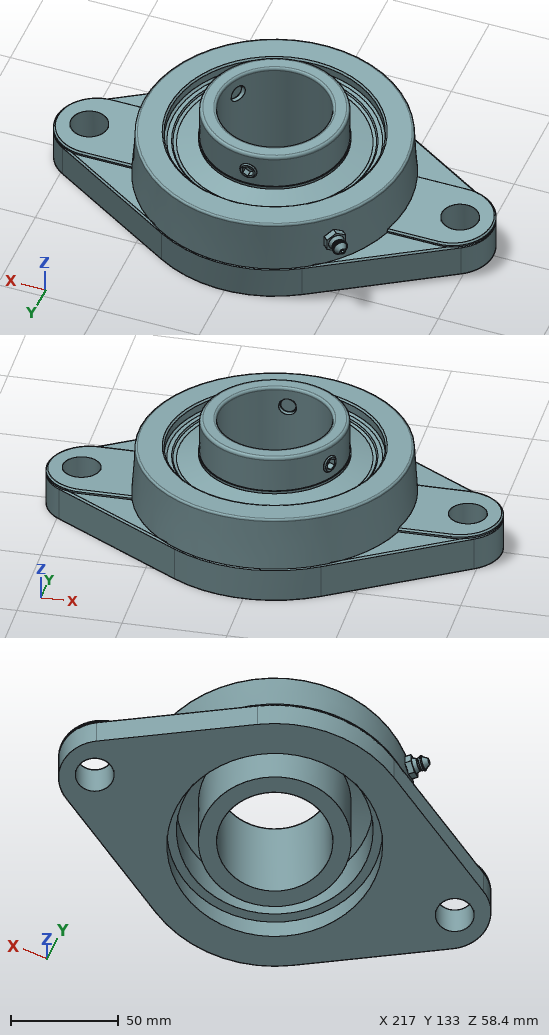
import cadquery as cq
import math

overall_length = 217.0
flange_radius = 66.5
lug_radius = 20.2
lug_offset = overall_length / 2 - lug_radius
web_height = 17.1
pad_height = 18.9
flange_edge_chamfer = 0.9
bolt_hole_diameter = 18.0
bolt_hole_offset = 92.0

drum_top_z = 43.2
drum_top_radius = 64.9
drum_edge_round = 1.0
mouth_radius = 51.5
mouth_chamfer = 0.9
seat_radius = 50.1
seat_chamfer_drop = 0.9

outer_ring_bottom_z = 12.5
outer_ring_top_z = 37.5
ring_groove_radius = 48.0
ring_groove_depth = 0.7
ring_lip_radius = 47.3
seal_outer_radius = 45.68
seal_rim_z = 36.5
inner_ring_bottom_z = 2.8
inner_ring_top_z = 58.4
inner_ring_radius = 35.0
bore_radius = 27.02
inner_ring_round = 1.5
bore_round = 1.3
collar_radius = 35.48
collar_top_z = 40.4

seal_inner_z = 39.0
seal_thickness = 1.7

screw_diameter = 8.5
screw_z = 48.2
screw_angles = (-30.0, 90.0)
screw_inner_radius = 28.6
screw_outer_radius = 35.5
screw_chamfer = 0.7
socket_width = 5.0
socket_depth = 3.3

nipple_angle = 135.0
nipple_z = 30.8
shank_diameter = 6.0
shank_start = 56.5
hex_start = 66.2
hex_end = 69.2
hex_width = 9.5
taper_start_radius = 4.0
taper_end_radius = 3.0
neck_radius = 2.2
neck_start = 71.2
neck_end = 72.0
head_radius = 3.3
rib_radius = 3.7
rib_start = 73.1
rib_end = 73.8
nipple_tip = 76.4
tip_radius = 1.5
grease_hole_diameter = 1.5
grease_hole_depth = 2.2


def revolve_profile(points):
    """Turn a closed (radius, z) outline about the Z axis."""
    return cq.Workplane("XZ").polyline(points).close().revolve(360, (0, 0, 0), (0, 1, 0))


def radial_plane(angle, distance, z):
    """Plane facing outwards, at a distance from the bearing axis."""
    turn = math.radians(angle)
    outward = cq.Vector(math.cos(turn), math.sin(turn), 0)
    return cq.Plane(origin=outward * distance + cq.Vector(0, 0, z), xDir=(0, 0, 1), normal=outward)


def hexagon_corners(width):
    """Distance across the corners of a hexagon with the given width across its flats."""
    return width / math.cos(math.radians(30))


def make_flange():
    """Rhombic plate: a large centre arc joined to two lug arcs by tangent lines."""
    cos_t = (flange_radius - lug_radius) / lug_offset
    sin_t = math.sqrt(1 - cos_t**2)
    big_x = flange_radius * cos_t
    big_y = flange_radius * sin_t
    lug_x = lug_offset + lug_radius * cos_t
    lug_y = lug_radius * sin_t
    half_length = overall_length / 2
    return (
        cq.Workplane("XY")
        .moveTo(-big_x, big_y)
        .threePointArc((0, flange_radius), (big_x, big_y))
        .lineTo(lug_x, lug_y)
        .threePointArc((half_length, 0), (lug_x, -lug_y))
        .lineTo(big_x, -big_y)
        .threePointArc((0, -flange_radius), (-big_x, -big_y))
        .lineTo(-lug_x, -lug_y)
        .threePointArc((-half_length, 0), (-lug_x, lug_y))
        .close()
        .extrude(web_height)
        .faces(">Z")
        .edges("%LINE")
        .chamfer(flange_edge_chamfer)
    )


def make_lug_pads():
    """Raised strip with round ends that carries both bolt holes."""
    return (
        cq.Workplane("XY", origin=(0, 0, web_height))
        .slot2D(overall_length, 2 * lug_radius)
        .extrude(pad_height - web_height)
        .faces(">Z")
        .edges()
        .chamfer(flange_edge_chamfer)
    )


def make_drum():
    """Slightly tapered drum with a rounded top edge."""
    return (
        revolve_profile(
            [
                (0, web_height),
                (flange_radius, web_height),
                (drum_top_radius, drum_top_z),
                (0, drum_top_z),
            ]
        )
        .faces(">Z")
        .edges()
        .fillet(drum_edge_round)
    )


def make_seat_cutter():
    """Bearing seat with a wider, chamfered mouth."""
    return revolve_profile(
        [
            (0, 0),
            (seat_radius, 0),
            (seat_radius, outer_ring_top_z),
            (mouth_radius, outer_ring_top_z + seat_chamfer_drop),
            (mouth_radius, drum_top_z - mouth_chamfer),
            (mouth_radius + mouth_chamfer, drum_top_z),
            (0, drum_top_z),
        ]
    )


def make_housing():
    """Flange, lug pads and drum in one piece, with the seat and all holes cut."""
    bolt_holes = (
        cq.Workplane("XY")
        .pushPoints([(-bolt_hole_offset, 0), (bolt_hole_offset, 0)])
        .circle(bolt_hole_diameter / 2)
        .extrude(pad_height)
    )
    nipple_hole = (
        cq.Workplane(radial_plane(nipple_angle, shank_start, nipple_z))
        .circle(shank_diameter / 2)
        .extrude(hex_start - shank_start)
    )
    body = make_flange().union(make_lug_pads()).union(make_drum())
    return body.cut(make_seat_cutter()).cut(bolt_holes).cut(nipple_hole)


def make_outer_ring():
    """Ring in the housing seat, with a sloped lip down to the seal."""
    return revolve_profile(
        [
            (seal_outer_radius, outer_ring_bottom_z),
            (seat_radius, outer_ring_bottom_z),
            (seat_radius, outer_ring_top_z),
            (ring_groove_radius, outer_ring_top_z),
            (ring_lip_radius, outer_ring_top_z - ring_groove_depth),
            (seal_outer_radius, seal_rim_z),
        ]
    )


def make_inner_ring():
    """Long sleeve with a low collar, rounded top edges and two screw holes."""
    ring = revolve_profile(
        [
            (bore_radius, inner_ring_bottom_z),
            (collar_radius, inner_ring_bottom_z),
            (collar_radius, collar_top_z),
            (inner_ring_radius, collar_top_z),
            (inner_ring_radius, inner_ring_top_z),
            (bore_radius, inner_ring_top_z),
        ]
    )
    ring = ring.faces(">Z").edges(cq.selectors.RadiusNthSelector(1)).fillet(inner_ring_round)
    ring = ring.faces(">Z").edges(cq.selectors.RadiusNthSelector(0)).fillet(bore_round)
    for angle in screw_angles:
        screw_hole = (
            cq.Workplane(radial_plane(angle, 0, screw_z))
            .circle(screw_diameter / 2)
            .extrude(inner_ring_radius + bore_radius)
        )
        ring = ring.cut(screw_hole)
    return ring


def make_seal():
    """Thin dished ring that closes the gap between the bearing rings."""
    return revolve_profile(
        [
            (collar_radius, seal_inner_z),
            (seal_outer_radius, seal_rim_z),
            (seal_outer_radius, seal_rim_z - seal_thickness),
            (collar_radius, seal_inner_z - seal_thickness),
        ]
    )


def make_set_screw(angle):
    """Headless screw with chamfered ends and a hexagon socket in its outer end."""
    screw = (
        cq.Workplane(radial_plane(angle, screw_inner_radius, screw_z))
        .circle(screw_diameter / 2)
        .extrude(screw_outer_radius - screw_inner_radius)
        .edges("%CIRCLE")
        .chamfer(screw_chamfer)
    )
    socket = (
        cq.Workplane(radial_plane(angle, screw_outer_radius, screw_z))
        .polygon(6, hexagon_corners(socket_width))
        .extrude(-socket_depth)
    )
    return screw.cut(socket)


def make_nipple():
    """Threaded shank, hexagon, neck and ribbed head with a grease hole in its tip."""
    turned_outline = [
        (0, shank_start),
        (shank_diameter / 2, shank_start),
        (shank_diameter / 2, hex_end),
        (taper_start_radius, hex_end),
        (taper_end_radius, neck_start),
        (neck_radius, neck_start),
        (neck_radius, neck_end),
        (head_radius, neck_end),
        (head_radius, rib_start),
        (rib_radius, rib_start),
        (rib_radius, rib_end),
        (head_radius, rib_end),
        (tip_radius, nipple_tip),
        (0, nipple_tip),
    ]
    turn = math.radians(nipple_angle)
    sideways = (-math.sin(turn), math.cos(turn), 0)
    axial_plane = cq.Plane(origin=(0, 0, nipple_z), xDir=(0, 0, 1), normal=sideways)
    turned = (
        cq.Workplane(axial_plane)
        .polyline(turned_outline)
        .close()
        .revolve(360, (0, 0, 0), (0, 1, 0))
    )
    hexagon = (
        cq.Workplane(radial_plane(nipple_angle, hex_start, nipple_z))
        .polygon(6, hexagon_corners(hex_width))
        .extrude(hex_end - hex_start)
    )
    grease_hole = (
        cq.Workplane(radial_plane(nipple_angle, nipple_tip, nipple_z))
        .circle(grease_hole_diameter / 2)
        .extrude(-grease_hole_depth)
    )
    return turned.union(hexagon).cut(grease_hole)


housing = make_housing()
outer_ring = make_outer_ring()
inner_ring = make_inner_ring()
seal = make_seal()
set_screws = [make_set_screw(angle) for angle in screw_angles]
nipple = make_nipple()

result = cq.Compound.makeCompound(
    [
        housing.val(),
        outer_ring.val(),
        inner_ring.val(),
        seal.val(),
        *[screw.val() for screw in set_screws],
        nipple.val(),
    ]
)